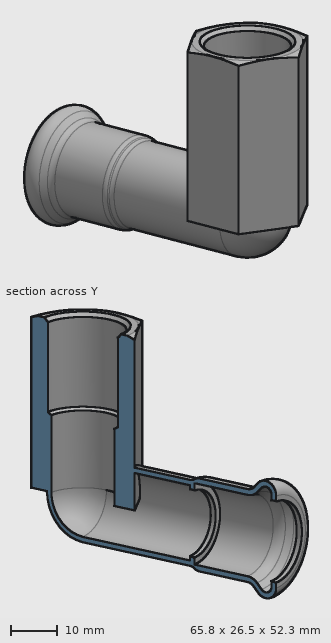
import cadquery as cq
import math

length = 65.85
hex_top = 39.0
hex_corner_radius = 13.9
elbow_x = length - hex_corner_radius

socket_radius = 10.505
socket_wall = 1.415
lip_roll_radius = 2.9
lip_center_radius = 10.35
neck_fillet = 2.1
lip_slope = math.radians(45)

taper_start_x = 20.7
taper_radius = 2.25
taper_slope = math.radians(30)
stop_thickness = 1.3
stop_radius = 7.5

tube_radius = 9.715
tube_bore_radius = 8.4

thread_radius = 9.35
thread_depth = 21.1
entry_radius = 10.3
hex_chamfer_radius = 12.0
hex_chamfer_drop = 0.6
thread_end_slope = math.radians(30)

socket_bore_radius = socket_radius - socket_wall
neck_center_radius = socket_radius + neck_fillet
neck_end_x = (
    lip_roll_radius
    + (lip_roll_radius + neck_fillet) / math.cos(lip_slope)
    - (neck_center_radius - lip_center_radius) * math.tan(lip_slope)
)
taper_arc_length = taper_radius * math.sin(taper_slope)
taper_arc_drop = taper_radius * (1 - math.cos(taper_slope))
taper_line_drop = socket_radius - tube_radius - 2 * taper_arc_drop
taper_end_x = taper_start_x + 2 * taper_arc_length + taper_line_drop / math.tan(taper_slope)
stop_x = (taper_start_x + taper_end_x) / 2


def arc_point(center_x, center_radius, radius, angle):
    """Point on a profile arc; the angle is measured from outward radial toward +X."""
    return (center_x + radius * math.sin(angle), center_radius + radius * math.cos(angle))


def add_lip_curves(profile, roll_radius, fillet_radius):
    """Continue a profile over the rolled lip and down the neck to the socket wall."""
    def roll(angle):
        return arc_point(lip_roll_radius, lip_center_radius, roll_radius, angle)

    def neck(angle):
        return arc_point(neck_end_x, neck_center_radius, fillet_radius, angle)

    return (
        profile.threePointArc(roll(0), roll(lip_slope))
        .lineTo(*neck(math.pi + lip_slope))
        .threePointArc(neck(math.pi + lip_slope / 2), neck(math.pi))
    )


def revolve_about_tube_axis(profile):
    return profile.close().revolve(360, (0, 0, 0), (1, 0, 0))


def make_tube_body():
    """Outside of the lip, socket, reduction and tube, closed by a spherical elbow."""
    def shoulder(angle):
        return arc_point(taper_start_x, socket_radius - taper_radius, taper_radius, angle)

    def foot(angle):
        return arc_point(taper_end_x, tube_radius + taper_radius, taper_radius, math.pi + angle)

    profile = cq.Workplane("XZ").lineTo(0, lip_center_radius)
    profile = add_lip_curves(profile, lip_roll_radius, neck_fillet)
    profile = (
        profile.lineTo(taper_start_x, socket_radius)
        .threePointArc(shoulder(taper_slope / 2), shoulder(taper_slope))
        .lineTo(*foot(taper_slope))
        .threePointArc(foot(taper_slope / 2), foot(0))
        .lineTo(elbow_x, tube_radius)
        .threePointArc(
            arc_point(elbow_x, 0, tube_radius, math.pi / 4),
            (elbow_x + tube_radius, 0),
        )
    )
    return revolve_about_tube_axis(profile)


def make_tube_cavity():
    """Socket bore with seal groove, pipe stop, and tube bore with a spherical end."""
    groove_radius = lip_roll_radius - socket_wall
    groove_x = lip_roll_radius - groove_radius
    profile = (
        cq.Workplane("XZ")
        .lineTo(0, socket_bore_radius)
        .lineTo(groove_x, socket_bore_radius)
        .lineTo(groove_x, lip_center_radius)
    )
    profile = add_lip_curves(profile, groove_radius, neck_fillet + socket_wall)
    profile = (
        profile.lineTo(stop_x, socket_bore_radius)
        .lineTo(stop_x, stop_radius)
        .lineTo(stop_x + stop_thickness, stop_radius)
        .lineTo(stop_x + stop_thickness, tube_bore_radius)
        .lineTo(elbow_x, tube_bore_radius)
        .threePointArc(
            arc_point(elbow_x, 0, tube_bore_radius, math.pi / 4),
            (elbow_x + tube_bore_radius, 0),
        )
    )
    return revolve_about_tube_axis(profile)


def revolve_about_hex_axis(points):
    """Revolve (radius, height) points about the vertical axis of the hexagon."""
    solid = cq.Workplane("XZ").polyline(points).close().revolve(360, (0, 0, 0), (0, 1, 0))
    return solid.translate((elbow_x, 0, 0))


def make_hex_body():
    """Hexagonal prism whose top corners are cut back by a cone."""
    prism = cq.Workplane("XY").center(elbow_x, 0).polygon(6, 2 * hex_corner_radius).extrude(hex_top)
    cone_envelope = revolve_about_hex_axis([
        (0, 0),
        (hex_corner_radius, 0),
        (hex_corner_radius, hex_top - hex_chamfer_drop),
        (hex_chamfer_radius, hex_top),
        (0, hex_top),
    ])
    return prism.intersect(cone_envelope)


def make_hex_cavity():
    """Threaded-end bore with a 45 degree entry and a conical step to the tube bore."""
    thread_end_z = hex_top - thread_depth
    step_height = (thread_radius - tube_bore_radius) * math.tan(thread_end_slope)
    entry_depth = entry_radius - thread_radius
    return revolve_about_hex_axis([
        (0, 0),
        (tube_bore_radius, 0),
        (tube_bore_radius, thread_end_z - step_height),
        (thread_radius, thread_end_z),
        (thread_radius, hex_top - entry_depth),
        (entry_radius, hex_top),
        (0, hex_top),
    ])


hollow_tube = make_tube_body().cut(make_tube_cavity())
result = hollow_tube.union(make_hex_body()).cut(make_hex_cavity())